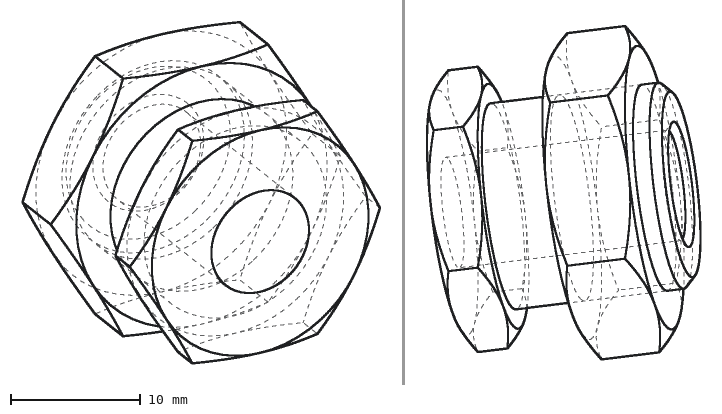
import cadquery as cq
import math

total_length = 18.0
shank_diameter = 16.0
shank_tip_chamfer = 0.8

bore_diameter = 8.566
bore_mouth_diameter = 9.728

head_across_flats = 19.0
head_thickness = 4.0
head_start = total_length - head_thickness

nut_across_flats = 22.0
nut_thickness = 6.5
nut_start = 2.1

corner_chamfer_angle = 30.0


def corner_diameter(across_flats):
    """Distance between opposite corners of a hexagon."""
    return across_flats / math.cos(math.radians(30))


def chamfered_hexagon(across_flats, thickness, start):
    """Hexagonal prism along X with flats facing +Z and -Z and corners turned off at both ends."""
    across_corners = corner_diameter(across_flats)
    prism = (
        cq.Workplane("YZ", origin=(start, 0, 0))
        .polygon(6, across_corners)
        .extrude(thickness)
    )
    end = start + thickness
    face_radius = across_flats / 2
    outer_radius = across_corners / 2
    chamfer_length = (outer_radius - face_radius) * math.tan(math.radians(corner_chamfer_angle))
    turned_blank = (
        cq.Workplane("XY")
        .moveTo(start, 0)
        .lineTo(start, face_radius)
        .lineTo(start + chamfer_length, outer_radius)
        .lineTo(end - chamfer_length, outer_radius)
        .lineTo(end, face_radius)
        .lineTo(end, 0)
        .close()
        .revolve(360, (0, 0, 0), (1, 0, 0))
    )
    return prism.intersect(turned_blank)


def make_fitting_body():
    """Shank and head in one piece, with a through bore chamfered at the shank tip."""
    shank = (
        cq.Workplane("YZ")
        .circle(shank_diameter / 2)
        .extrude(head_start)
        .faces("<X")
        .chamfer(shank_tip_chamfer)
    )
    head = chamfered_hexagon(head_across_flats, head_thickness, head_start)
    bore = cq.Workplane("YZ").circle(bore_diameter / 2).extrude(total_length)
    bore_mouth_chamfer = (bore_mouth_diameter - bore_diameter) / 2
    bored_body = shank.union(head).cut(bore)
    return (
        bored_body.faces("<X")
        .edges(cq.selectors.RadiusNthSelector(0))
        .chamfer(bore_mouth_chamfer)
    )


def make_lock_nut():
    """Hexagonal nut whose hole fits the shank."""
    hole = (
        cq.Workplane("YZ", origin=(nut_start, 0, 0))
        .circle(shank_diameter / 2)
        .extrude(nut_thickness)
    )
    return chamfered_hexagon(nut_across_flats, nut_thickness, nut_start).cut(hole)


fitting_body = make_fitting_body()
lock_nut = make_lock_nut()

result = cq.Compound.makeCompound([fitting_body.solids().val(), lock_nut.solids().val()])